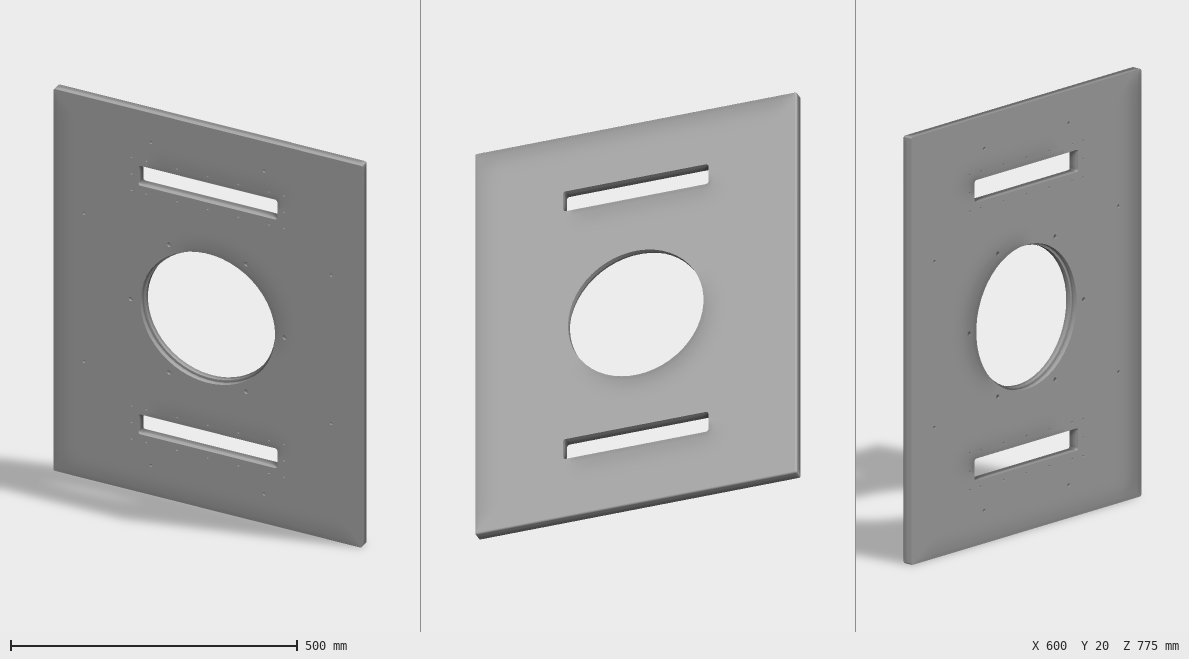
import cadquery as cq
import math

width = 600.0
thickness = 20.0
height = 775.0
edge_fillet = 3.0

hole_depth = 12.0
drill_point_angle = 118

bore_radius = 126.0
rebate_radius = 131.0
rebate_depth = 10.0
bore_bolt_circle_radius = 149.5
bore_bolt_count = 6
bore_bolt_diameter = 8.5

slot_length = 270.5
slot_height = 40.0
slot_corner_radius = 5.0
upper_slot_z = 255.0
lower_slot_z = -249.5

frame_half_length = 148.0
frame_half_height = 33.0
screw_pitch = 60.0
screw_pitches_each_side = 2
screw_diameter = 4.0

end_hole_x = 110.0
end_hole_z = 328.0
side_hole_x = 240.0
side_hole_z = 150.0
mounting_hole_diameter = 6.0


def front_plane():
    """Sketch plane on the front face: local x is X, local y is Z, negative depth goes into the plate."""
    return cq.Workplane("XZ", origin=(0, -thickness / 2, 0))


def drilled_holes(points, diameter):
    """Blind drillings from the front face, each ending in a conical drill point."""
    radius = diameter / 2
    point_depth = radius / math.tan(math.radians(drill_point_angle / 2))
    tip_depth = hole_depth + point_depth
    drill = (
        cq.Workplane("XY")
        .polyline([(0, 0), (radius, 0), (radius, hole_depth), (0, tip_depth)])
        .close()
        .revolve(360, (0, 0), (0, 1))
        .val()
    )
    holes = cq.Workplane("XY")
    for x, z in points:
        holes = holes.add(drill.translate((x, -thickness / 2, z)))
    return holes.combine()


def mirrored(x, z):
    return [(sx * x, sz * z) for sx in (-1, 1) for sz in (-1, 1)]


def make_plate():
    plate = cq.Workplane("XY").box(width, thickness, height)
    plate = plate.edges("|Y").fillet(edge_fillet)
    return plate.faces(">Y").edges().fillet(edge_fillet)


def make_bore():
    bore = front_plane().circle(bore_radius).extrude(-thickness)
    rebate = front_plane().circle(rebate_radius).extrude(-rebate_depth)
    bolt_angles = [2 * math.pi * i / bore_bolt_count for i in range(bore_bolt_count)]
    bolt_points = [
        (bore_bolt_circle_radius * math.cos(angle), bore_bolt_circle_radius * math.sin(angle))
        for angle in bolt_angles
    ]
    return bore.union(rebate).union(drilled_holes(bolt_points, bore_bolt_diameter))


def make_slot(center_z):
    slot = (
        front_plane()
        .center(0, center_z)
        .rect(slot_length, slot_height)
        .extrude(-thickness)
        .edges("|Y")
        .fillet(slot_corner_radius)
    )
    pitch_steps = range(-screw_pitches_each_side, screw_pitches_each_side + 1)
    columns = [-frame_half_length, frame_half_length] + [i * screw_pitch for i in pitch_steps]
    rows = [center_z - frame_half_height, center_z + frame_half_height]
    screws = [(x, z) for x in columns for z in rows]
    screws += [(-frame_half_length, center_z), (frame_half_length, center_z)]
    return slot.union(drilled_holes(screws, screw_diameter))


mounting_points = mirrored(end_hole_x, end_hole_z) + mirrored(side_hole_x, side_hole_z)

result = make_plate().cut(make_bore())
for slot_z in (upper_slot_z, lower_slot_z):
    result = result.cut(make_slot(slot_z))
result = result.cut(drilled_holes(mounting_points, mounting_hole_diameter))